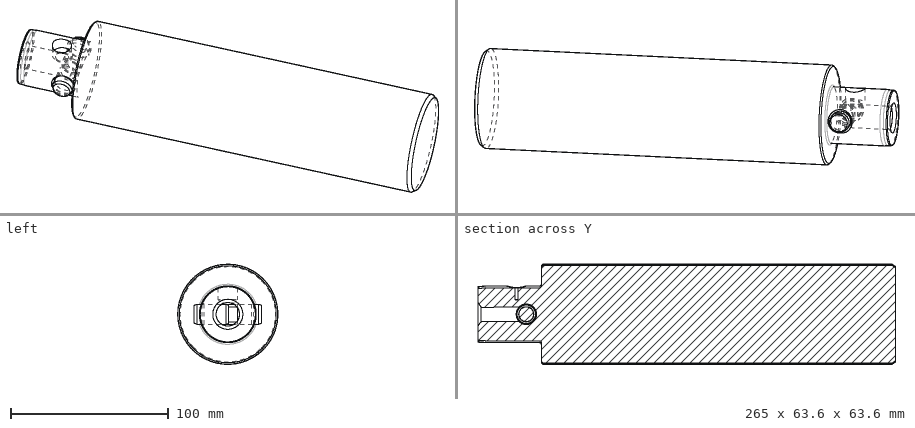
import cadquery as cq
import math

length = 265.0
roller_radius = 31.8
roller_start = 40.3
spigot_radius = 18.0

front_chamfer = 1.0
rear_chamfer_length = 2.5
rear_chamfer_depth = 1.5
tip_chamfer_length = 0.8
tip_chamfer_depth = 0.3
lead_land_end = 2.6
lead_in_end = 4.8
lead_in_depth = 0.3
root_fillet = 1.0

bore_radius = 7.5
bore_mouth_radius = 9.5
bore_mouth_depth = bore_mouth_radius - bore_radius

side_hole_x = 24.6
side_hole_radius = 6.0
side_hole_cone_top = 9.3
side_hole_cone_height = 2.0
side_hole_tip_radius = 4.0

pin_x = 30.7
pin_radius = 6.4
pin_tip_y = 21.5
pin_chamfer_length = 1.9
pin_chamfer_depth = 0.8
cross_hole_mouth_radius = 7.7
mouth_depth = cross_hole_mouth_radius - pin_radius
bore_depth = pin_x

pin_joint_y = -0.5
inner_chamfer_length = 1.5
inner_chamfer_depth = 0.5
neck_radius = 4.8
neck_end_y = -6.0


def make_blank():
    """Turned outline of the spigot and roller, revolved about X."""
    lead_radius = spigot_radius - lead_in_depth
    return (
        cq.Workplane("XY")
        .moveTo(0, 0)
        .lineTo(0, lead_radius - tip_chamfer_depth)
        .lineTo(tip_chamfer_length, lead_radius)
        .lineTo(lead_land_end, lead_radius)
        .lineTo(lead_in_end, spigot_radius)
        .lineTo(roller_start - root_fillet, spigot_radius)
        .radiusArc((roller_start, spigot_radius + root_fillet), -root_fillet)
        .lineTo(roller_start, roller_radius - front_chamfer)
        .lineTo(roller_start + front_chamfer, roller_radius)
        .lineTo(length - rear_chamfer_length, roller_radius)
        .lineTo(length, roller_radius - rear_chamfer_depth)
        .lineTo(length, 0)
        .close()
        .revolve(360, (0, 0, 0), (1, 0, 0))
    )


def make_cone(start, direction, start_radius, end_radius, height):
    return cq.Workplane(
        cq.Solid.makeCone(start_radius, end_radius, height, cq.Vector(*start), cq.Vector(*direction))
    )


def make_cylinder(start, direction, radius, height):
    return cq.Workplane(
        cq.Solid.makeCylinder(radius, height, cq.Vector(*start), cq.Vector(*direction))
    )


def mouth_start(mouth_radius):
    """Distance from the axis at which a mouth of this radius meets the spigot along its sides."""
    return math.sqrt(spigot_radius**2 - mouth_radius**2)


def cut_bore(body):
    bore = make_cylinder((0, 0, 0), (1, 0, 0), bore_radius, bore_depth)
    mouth = make_cone((0, 0, 0), (1, 0, 0), bore_mouth_radius, bore_radius, bore_mouth_depth)
    return body.cut(bore).cut(mouth)


def cut_side_hole(body):
    up = (0, 0, 1)
    cone_top = (side_hole_x, 0, side_hole_cone_top)
    drilled = make_cylinder(cone_top, up, side_hole_radius, spigot_radius - side_hole_cone_top)
    cone = make_cone(cone_top, (0, 0, -1), side_hole_radius, side_hole_tip_radius, side_hole_cone_height)
    opening = make_cylinder((side_hole_x, 0, 0), up, side_hole_tip_radius, side_hole_cone_top)
    return body.cut(drilled.union(cone).union(opening))


def cut_cross_hole(body):
    body = body.cut(
        make_cylinder((pin_x, -spigot_radius, 0), (0, 1, 0), pin_radius, 2 * spigot_radius)
    )
    rim = mouth_start(cross_hole_mouth_radius)
    for side in (-1, 1):
        start = (pin_x, side * rim, 0)
        mouth = make_cone(start, (0, -side, 0), cross_hole_mouth_radius, pin_radius, mouth_depth)
        relief = make_cylinder(start, (0, side, 0), cross_hole_mouth_radius, spigot_radius - rim)
        body = body.cut(mouth.union(relief))
    return body


def make_pin_shank(side, inner_y):
    """Full-diameter shank from inner_y to the chamfered tip on the given side of the axis."""
    shank_end = side * (pin_tip_y - pin_chamfer_length)
    shank = make_cylinder((pin_x, inner_y, 0), (0, side, 0), pin_radius, abs(shank_end - inner_y))
    tip = make_cone(
        (pin_x, shank_end, 0), (0, side, 0), pin_radius, pin_radius - pin_chamfer_depth, pin_chamfer_length
    )
    return shank.union(tip)


def make_plain_pin():
    """Pin on the +Y side, tapered slightly at its inner end."""
    taper_start = pin_joint_y + inner_chamfer_length
    taper = make_cone(
        (pin_x, taper_start, 0), (0, -1, 0), pin_radius, pin_radius - inner_chamfer_depth, inner_chamfer_length
    )
    return make_pin_shank(1, taper_start).union(taper)


def make_necked_pin():
    """Pin on the -Y side, whose neck butts against the plain pin."""
    neck = make_cylinder((pin_x, neck_end_y, 0), (0, 1, 0), neck_radius, pin_joint_y - neck_end_y)
    return make_pin_shank(-1, neck_end_y).union(neck)


housing = cut_cross_hole(cut_side_hole(cut_bore(make_blank())))
plain_pin = make_plain_pin()
necked_pin = make_necked_pin()

result = cq.Compound.makeCompound([housing.val(), plain_pin.val(), necked_pin.val()])